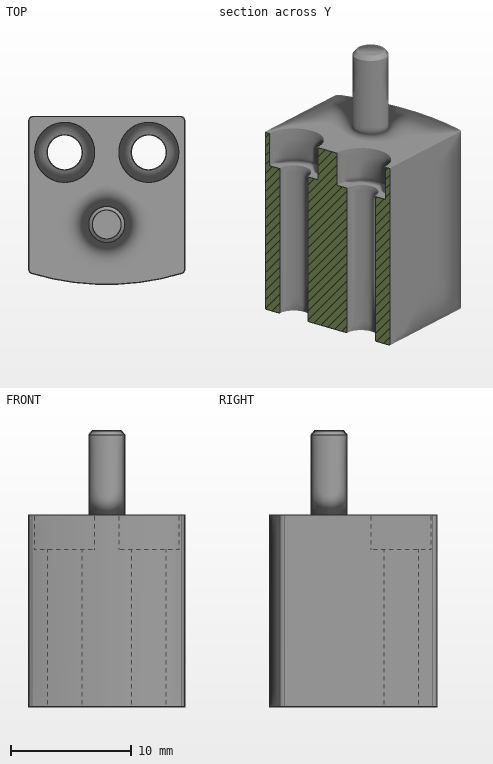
import cadquery as cq

block_width = 13.0
block_depth = 14.0
block_height = 16.0
front_bow = 1.0
corner_radius = 0.4
pin_to_back = 9.0

screw_spacing = 7.0
screw_to_back = 3.0
screw_clearance_diameter = 2.9
screw_head_diameter = 5.0
screw_head_depth = 2.9

pin_diameter = 3.0
pin_height = 7.0
pin_tip_diameter = 2.4
pin_tip_chamfer_height = 0.35

half_width = block_width / 2
back_y = pin_to_back
front_y = back_y - block_depth
front_corner_y = front_y + front_bow
screw_y = back_y - screw_to_back


def make_block():
    """Block with rounded vertical edges, a bowed front and two counterbored holes."""
    block = (
        cq.Workplane("XY")
        .moveTo(-half_width, front_corner_y)
        .threePointArc((0, front_y), (half_width, front_corner_y))
        .lineTo(half_width, back_y)
        .lineTo(-half_width, back_y)
        .close()
        .extrude(block_height)
        .edges("|Z")
        .fillet(corner_radius)
    )
    screw_positions = [(side * screw_spacing / 2, screw_y) for side in (-1, 1)]
    return (
        block.faces(">Z")
        .workplane(origin=(0, 0, block_height))
        .pushPoints(screw_positions)
        .cboreHole(screw_clearance_diameter, screw_head_diameter, screw_head_depth)
    )


def make_pin():
    """Round pin with a chamfered tip, resting on the top face of the block."""
    tip_inset = (pin_diameter - pin_tip_diameter) / 2
    return (
        cq.Workplane("XY", origin=(0, 0, block_height))
        .circle(pin_diameter / 2)
        .extrude(pin_height)
        .faces(">Z")
        .edges()
        .chamfer(pin_tip_chamfer_height, tip_inset)
    )


block = make_block()
pin = make_pin()
result = cq.Compound.makeCompound([block.val(), pin.val()])